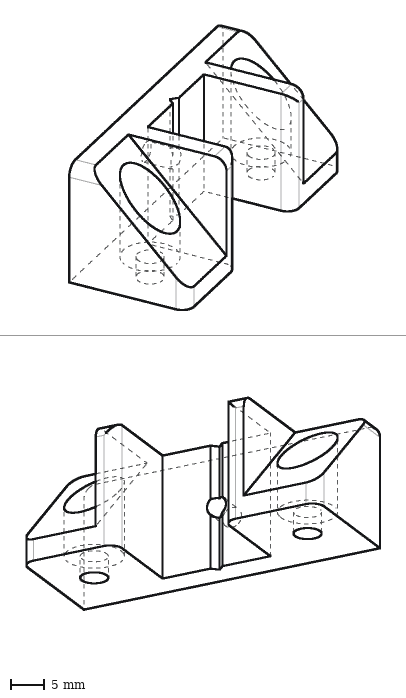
import cadquery as cq

DEPTH = 20.0
LENGTH = 50.0
HEIGHT = 20.0
CORNER_RADIUS = 2.0

BACK_WALL = 5.0
CHANNEL_WIDTH = 18.2

SLOPE_WIDTH = 12.5
SLOPE_EDGE = 3.5

MOUNT_X = 10.0
MOUNT_SPACING = 36.0
MOUNT_DIAMETER = 4.2
COUNTERBORE_DIAMETER = 9.0
COUNTERBORE_FLOOR = 3.5

CROSS_HOLE_DIAMETER = 3.2
NOTCH_DEPTH = 1.0

SIDES = (-1, 1)


def make_body():
    """Block with rounded corners and an open channel in front."""
    block = (
        cq.Workplane("XY")
        .box(DEPTH, LENGTH, HEIGHT, centered=(False, True, False))
        .edges("|X and >Z")
        .fillet(CORNER_RADIUS)
    )
    channel = (
        cq.Workplane("XY")
        .box(DEPTH, CHANNEL_WIDTH, HEIGHT, centered=(False, True, False))
        .translate((BACK_WALL, 0, 0))
    )
    body = block.cut(channel).edges("|Z and >X").fillet(CORNER_RADIUS)
    return body.cut(make_front_rounding())


def make_front_rounding():
    """Waste outside the round along the upper front edge."""
    return (
        cq.Workplane("XZ", origin=(0, LENGTH / 2, 0))
        .moveTo(DEPTH - CORNER_RADIUS, HEIGHT)
        .radiusArc((DEPTH, HEIGHT - CORNER_RADIUS), CORNER_RADIUS)
        .lineTo(DEPTH, HEIGHT)
        .close()
        .extrude(LENGTH)
    )


def make_slope_waste(side):
    """Triangular prism removed above the slope on one end of the block."""
    start = LENGTH / 2 if side > 0 else SLOPE_WIDTH - LENGTH / 2
    return (
        cq.Workplane("XZ", origin=(0, start, 0))
        .moveTo(SLOPE_EDGE, HEIGHT)
        .lineTo(DEPTH, HEIGHT)
        .lineTo(DEPTH, SLOPE_EDGE)
        .close()
        .extrude(SLOPE_WIDTH)
    )


def make_mount_hole(side):
    """Through hole with a flat-bottomed counterbore open to the slope."""
    hole_y = side * MOUNT_SPACING / 2
    through = cq.Workplane("XY").circle(MOUNT_DIAMETER / 2).extrude(HEIGHT)
    counterbore = (
        cq.Workplane("XY", origin=(0, 0, COUNTERBORE_FLOOR))
        .circle(COUNTERBORE_DIAMETER / 2)
        .extrude(HEIGHT - COUNTERBORE_FLOOR)
    )
    return through.union(counterbore).translate((MOUNT_X, hole_y, 0))


def make_notch():
    """Full-height V groove in the front of the back wall."""
    return (
        cq.Workplane("XY")
        .moveTo(BACK_WALL, -NOTCH_DEPTH)
        .lineTo(BACK_WALL - NOTCH_DEPTH, 0)
        .lineTo(BACK_WALL, NOTCH_DEPTH)
        .close()
        .extrude(HEIGHT)
    )


def make_cross_hole():
    """Hole along X through the middle of the back wall."""
    return (
        cq.Workplane("YZ", origin=(0, 0, HEIGHT / 2))
        .circle(CROSS_HOLE_DIAMETER / 2)
        .extrude(BACK_WALL)
    )


result = make_body()
for side in SIDES:
    result = result.cut(make_slope_waste(side)).cut(make_mount_hole(side))
result = result.cut(make_notch()).cut(make_cross_hole())